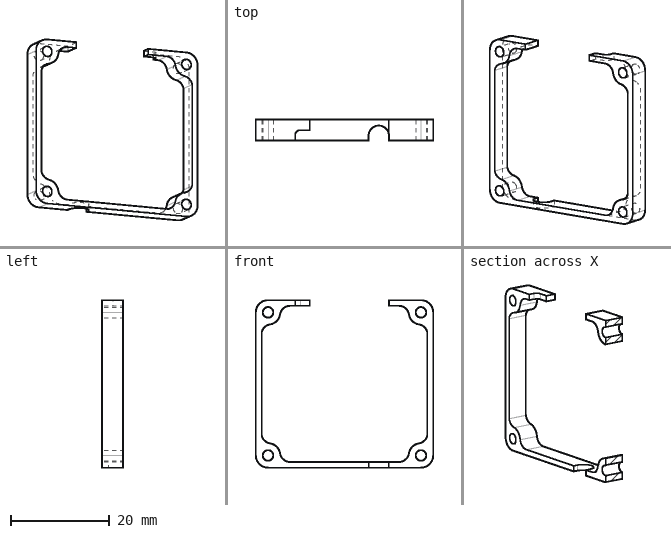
import cadquery as cq
import math

DIAGONAL = math.sqrt(0.5)

width = 36.0
height = 34.0
depth = 4.3
corner_radius = 2.5
front_y = -depth / 2

side_wall = 1.25
end_wall = 1.2

hole_diameter = 2.1
boss_radius = corner_radius
blend_radius = 2.0
blend_wall = end_wall

gap_left = -7.0
gap_right = 9.0

step_left = -10.0
step_depth = 2.1
step_radius = 1.0

notch_width = 4.1
notch_depth = 3.0
notch_x = gap_right - notch_width / 2


def extrude_along_y(outline):
    """Extrude an XZ outline drawn on the front face through the full depth."""
    return outline.extrude(-depth)


def front_plane():
    return cq.Workplane("XZ", origin=(0, front_y, 0))


def make_frame():
    outer = extrude_along_y(front_plane().rect(width, height)).edges("|Y").fillet(corner_radius)
    opening = extrude_along_y(front_plane().rect(width - 2 * side_wall, height - 2 * end_wall))
    return outer.cut(opening)


def make_boss():
    """Boss filling the upper right corner, blended into both walls by concave arcs."""
    hole_x = width / 2 - corner_radius
    hole_z = height / 2 - corner_radius

    wall_offset = corner_radius - blend_wall
    blend_reach = boss_radius + blend_radius
    blend_across = wall_offset - blend_radius
    blend_along = math.sqrt(blend_reach**2 - blend_across**2)

    wall_end = (blend_along, wall_offset)
    boss_share = boss_radius / blend_reach
    boss_end = (blend_along * boss_share, blend_across * boss_share)
    middle_angle = (math.pi / 2 + math.atan2(-blend_across, blend_along)) / 2
    blend_middle = (
        blend_along - blend_radius * math.cos(middle_angle),
        blend_across + blend_radius * math.sin(middle_angle),
    )

    def by_top_wall(offset):
        along, across = offset
        return (hole_x - along, hole_z + across)

    def by_side_wall(offset):
        along, across = offset
        return (hole_x + across, hole_z - along)

    boss_middle = (hole_x - boss_radius * DIAGONAL, hole_z - boss_radius * DIAGONAL)
    outline = (
        front_plane()
        .moveTo(hole_x + wall_offset, hole_z + wall_offset)
        .lineTo(*by_top_wall(wall_end))
        .threePointArc(by_top_wall(blend_middle), by_top_wall(boss_end))
        .threePointArc(boss_middle, by_side_wall(boss_end))
        .threePointArc(by_side_wall(blend_middle), by_side_wall(wall_end))
        .close()
    )
    return extrude_along_y(outline)


def add_bosses(body):
    right_boss = make_boss()
    left_boss = right_boss.mirror("YZ")
    for top_boss in (right_boss, left_boss):
        body = body.union(top_boss).union(top_boss.mirror("XY"))
    return body


def make_screw_holes():
    spacing_x = width - 2 * corner_radius
    spacing_z = height - 2 * corner_radius
    holes = front_plane().rect(spacing_x, spacing_z, forConstruction=True).vertices()
    return extrude_along_y(holes.circle(hole_diameter / 2))


def make_top_gap():
    """Full-depth gap in the top wall plus the shallower rounded step beside it."""
    wall_underside = height / 2 - end_wall
    plane = cq.Workplane("XY", origin=(0, front_y, wall_underside))
    gap_width = gap_right - gap_left
    gap = plane.moveTo(gap_left, 0).rect(gap_width, depth, centered=False).extrude(end_wall)
    step_inner_x = step_left + step_radius
    arc_middle = step_radius * (1 - DIAGONAL)
    step = (
        plane.moveTo(step_left, 0)
        .lineTo(step_left, step_depth - step_radius)
        .threePointArc((step_left + arc_middle, step_depth - arc_middle), (step_inner_x, step_depth))
        .lineTo(gap_left, step_depth)
        .lineTo(gap_left, 0)
        .close()
        .extrude(end_wall)
    )
    return gap.union(step)


def make_bottom_notch():
    radius = notch_width / 2
    straight = notch_depth - radius
    return (
        cq.Workplane("XY", origin=(notch_x, front_y, -height / 2))
        .moveTo(-radius, 0)
        .lineTo(-radius, straight)
        .threePointArc((0, notch_depth), (radius, straight))
        .lineTo(radius, 0)
        .close()
        .extrude(end_wall)
    )


result = add_bosses(make_frame())
result = result.cut(make_screw_holes())
result = result.cut(make_top_gap())
result = result.cut(make_bottom_notch())